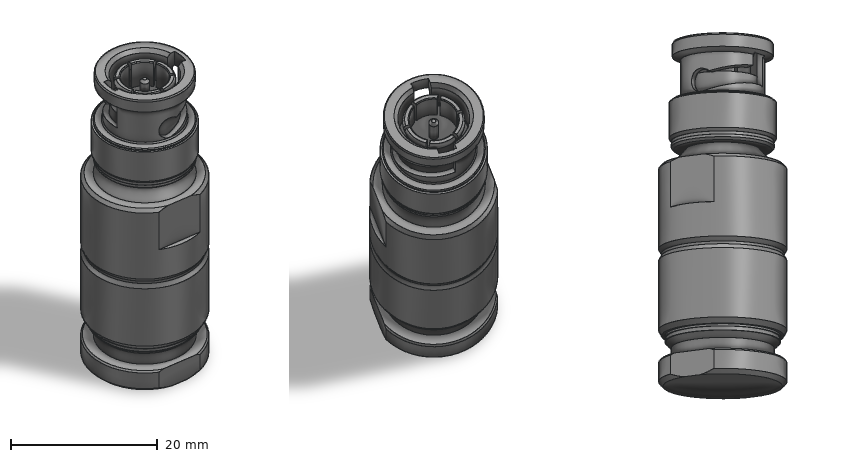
import cadquery as cq
import math


TOTAL_HEIGHT = 47.85

BODY_RADIUS = 8.75
BODY_CHAMFER = 0.5
NUT_HEIGHT = 3.5
NUT_BOTTOM_CHAMFER = 0.6
NUT_TOP_CHAMFER = 0.25
WAIST_RADIUS = 7.05
WAIST_TOP = 5.3
STEP_RADIUS = 7.9
STEP_BOTTOM = WAIST_TOP + STEP_RADIUS - WAIST_RADIUS
STEP_TOP = 7.05
STEP_GROOVE_RADIUS = 7.75
STEP_GROOVE_TOP = 6.75
SLEEVE_BOTTOM_RADIUS = 8.33
SLEEVE_CHAMFER_TOP = 7.8

GROOVE_RADIUS = 8.35
GROOVE_CENTRE = 18.3
GROOVE_FLOOR_HALF = 0.2
GROOVE_MOUTH_HALF = 0.8

BODY_TOP = 30.7
SHOULDER_RADIUS = 7.05
SHOULDER_TOP_RADIUS = 5.05
FLAT_DISTANCE = 8.05
FLAT_BOTTOM = 23.92

COLLAR_RADIUS = 7.3
COLLAR_END_RADIUS = 7.05
COLLAR_BOTTOM = 32.95
COLLAR_BOTTOM_CHAMFER = 0.35
COLLAR_GROOVE_RADIUS = 7.0
COLLAR_GROOVE_BOTTOM = 33.7
COLLAR_RIM_BOTTOM = 34.1
COLLAR_RIM_CHAMFER = 0.45
COLLAR_RIM_TOP = 39.5
COLLAR_TOP = 39.8
COLLAR_TOP_CHAMFER = 0.15

NECK_RADIUS = 5.75
NECK_FOOT = 0.2
NECK_TOP = 45.45
HEAD_RADIUS = 6.9
HEAD_BOTTOM = 45.95
HEAD_CHAMFER = 0.15
HEAD_CHAMFER_HEIGHT = 0.25
BORE_RADIUS = 4.9
MOUTH_CHAMFER = 0.55

ENTRY_WIDTH = 2.5
ENTRY_RADIUS = 6.1
TRACK_ANGLE = 14.0
TRACK_WIDTH = 2.45
TRACK_LENGTH = 9.55
CATCH_RADIUS = 1.65
CATCH_HEIGHT = 41.7
SLOT_REACH = 6.2

CORE_RADIUS = 4.85
CORE_FOOT_RADIUS = 5.02
CORE_TOP = 42.9
CORE_CONE_TOP = 40.75
FINGER_OUTER_RADIUS = 3.8
FINGER_TOP = 47.0
BULGE_BOTTOM = 45.7
BULGE_HEIGHT = 46.4
BULGE_RADIUS = 4.25
FINGER_RIM_OUTER = 3.95
FINGER_INNER_RADIUS = 3.35
FINGER_MOUTH_CHAMFER = 0.15
SLIT_COUNT = 6
SLIT_WIDTH = 0.45
PIN_RADIUS = 0.65
PIN_TIP_RADIUS = 0.3
PIN_SHOULDER = 46.15
PIN_TOP = 46.55


def revolve_profile(points):
    """Full turn around Z of a closed outline given as (radius, height) points."""
    outline = cq.Workplane("XZ").polyline(points).close()
    return outline.revolve(360, (0, 0, 0), (0, 1, 0))


def make_outer_shell():
    """All turned outside surfaces, with the open bore of the bayonet head."""
    neck_foot_radius = NECK_RADIUS + NECK_FOOT
    nut = [
        (0, 0),
        (BODY_RADIUS - NUT_BOTTOM_CHAMFER, 0),
        (BODY_RADIUS, NUT_BOTTOM_CHAMFER),
        (BODY_RADIUS, NUT_HEIGHT - NUT_TOP_CHAMFER),
        (BODY_RADIUS - NUT_TOP_CHAMFER, NUT_HEIGHT),
        (WAIST_RADIUS, NUT_HEIGHT),
    ]
    sleeve = [
        (WAIST_RADIUS, WAIST_TOP),
        (STEP_RADIUS, STEP_BOTTOM),
        (STEP_GROOVE_RADIUS, STEP_BOTTOM),
        (STEP_GROOVE_RADIUS, STEP_GROOVE_TOP),
        (STEP_RADIUS, STEP_GROOVE_TOP),
        (STEP_RADIUS, STEP_TOP),
        (SLEEVE_BOTTOM_RADIUS, STEP_TOP),
        (BODY_RADIUS, SLEEVE_CHAMFER_TOP),
        (BODY_RADIUS, GROOVE_CENTRE - GROOVE_MOUTH_HALF),
        (GROOVE_RADIUS, GROOVE_CENTRE - GROOVE_FLOOR_HALF),
    ]
    body = [
        (GROOVE_RADIUS, GROOVE_CENTRE + GROOVE_FLOOR_HALF),
        (BODY_RADIUS, GROOVE_CENTRE + GROOVE_MOUTH_HALF),
        (BODY_RADIUS, BODY_TOP - BODY_CHAMFER),
        (BODY_RADIUS - BODY_CHAMFER, BODY_TOP),
        (SHOULDER_RADIUS, BODY_TOP),
        (SHOULDER_TOP_RADIUS, COLLAR_BOTTOM),
    ]
    collar = [
        (COLLAR_END_RADIUS - COLLAR_BOTTOM_CHAMFER, COLLAR_BOTTOM),
        (COLLAR_END_RADIUS, COLLAR_BOTTOM + COLLAR_BOTTOM_CHAMFER),
        (COLLAR_END_RADIUS, COLLAR_GROOVE_BOTTOM),
        (COLLAR_GROOVE_RADIUS, COLLAR_GROOVE_BOTTOM),
        (COLLAR_GROOVE_RADIUS, COLLAR_RIM_BOTTOM),
        (COLLAR_END_RADIUS, COLLAR_RIM_BOTTOM),
        (COLLAR_RADIUS, COLLAR_RIM_BOTTOM + COLLAR_RIM_CHAMFER),
        (COLLAR_RADIUS, COLLAR_RIM_TOP),
        (COLLAR_END_RADIUS, COLLAR_RIM_TOP),
        (COLLAR_END_RADIUS, COLLAR_TOP - COLLAR_TOP_CHAMFER),
        (COLLAR_END_RADIUS - COLLAR_TOP_CHAMFER, COLLAR_TOP),
    ]
    head = [
        (neck_foot_radius, COLLAR_TOP),
        (NECK_RADIUS, COLLAR_TOP + NECK_FOOT),
        (NECK_RADIUS, NECK_TOP),
        (HEAD_RADIUS, HEAD_BOTTOM),
        (HEAD_RADIUS, TOTAL_HEIGHT - HEAD_CHAMFER_HEIGHT),
        (HEAD_RADIUS - HEAD_CHAMFER, TOTAL_HEIGHT),
        (BORE_RADIUS + MOUTH_CHAMFER, TOTAL_HEIGHT),
        (BORE_RADIUS, TOTAL_HEIGHT - MOUTH_CHAMFER),
        (BORE_RADIUS, COLLAR_TOP),
        (0, COLLAR_TOP),
    ]
    return revolve_profile(nut + sleeve + body + collar + head)


def make_flats(bottom, top):
    """Two slabs that shave parallel wrench flats on the -X and +X sides."""
    depth = BODY_RADIUS - FLAT_DISTANCE
    slabs = cq.Workplane("XY").workplane(offset=bottom).pushPoints(
        [(side * (FLAT_DISTANCE + depth / 2), 0) for side in (-1, 1)]
    )
    return slabs.rect(depth, 2 * BODY_RADIUS).extrude(top - bottom)


def make_bayonet_slot():
    """Cutter for the slot that enters at -Y and runs down to its catch at -X."""
    slope = math.radians(TRACK_ANGLE)
    along = (-math.cos(slope), math.sin(slope))
    across = (math.sin(slope), math.cos(slope))

    def track_point(run, rise):
        return (
            run * along[0] + rise * across[0],
            CATCH_HEIGHT + run * along[1] + rise * across[1],
        )

    lower = -CATCH_RADIUS
    upper = lower + TRACK_WIDTH
    side_plane = cq.Workplane("YZ", origin=(-SLOT_REACH, 0, 0))
    track = (
        side_plane.polyline([
            track_point(0, lower),
            track_point(TRACK_LENGTH, lower),
            track_point(TRACK_LENGTH, upper),
            track_point(0, upper),
        ])
        .close()
        .extrude(SLOT_REACH + ENTRY_WIDTH / 2)
    )
    catch = side_plane.center(0, CATCH_HEIGHT).circle(CATCH_RADIUS).extrude(SLOT_REACH)

    entry = (
        cq.Workplane("YZ", origin=(-ENTRY_WIDTH / 2, 0, 0))
        .polyline([
            track_point(0, lower),
            track_point(TRACK_LENGTH, lower),
            (track_point(TRACK_LENGTH, lower)[0], TOTAL_HEIGHT),
            (track_point(0, lower)[0], TOTAL_HEIGHT),
        ])
        .close()
        .extrude(ENTRY_WIDTH)
    )
    reach = cq.Workplane("XY").workplane(offset=COLLAR_TOP).circle(ENTRY_RADIUS).extrude(
        TOTAL_HEIGHT - COLLAR_TOP
    )
    return track.union(catch).union(entry).intersect(reach)


def make_core():
    """Solid stem inside the bore, flaring slightly at its foot until it closes the bore."""
    return revolve_profile([
        (0, COLLAR_BOTTOM),
        (CORE_FOOT_RADIUS, COLLAR_BOTTOM),
        (CORE_FOOT_RADIUS, COLLAR_TOP),
        (CORE_RADIUS, CORE_CONE_TOP),
        (CORE_RADIUS, CORE_TOP),
        (0, CORE_TOP),
    ])


def make_fingers():
    """Ring of spring contacts with bulged tips, split by radial slits."""
    ring = (
        cq.Workplane("XZ")
        .moveTo(FINGER_INNER_RADIUS, CORE_TOP)
        .lineTo(FINGER_OUTER_RADIUS, CORE_TOP)
        .lineTo(FINGER_OUTER_RADIUS, BULGE_BOTTOM)
        .threePointArc((BULGE_RADIUS, BULGE_HEIGHT), (FINGER_RIM_OUTER, FINGER_TOP))
        .lineTo(FINGER_INNER_RADIUS + FINGER_MOUTH_CHAMFER, FINGER_TOP)
        .lineTo(FINGER_INNER_RADIUS, FINGER_TOP - FINGER_MOUTH_CHAMFER)
        .close()
        .revolve(360, (0, 0, 0), (0, 1, 0))
    )
    for index in range(SLIT_COUNT // 2):
        slit = (
            cq.Workplane("XY")
            .workplane(offset=CORE_TOP)
            .rect(2 * CORE_RADIUS, SLIT_WIDTH)
            .extrude(FINGER_TOP - CORE_TOP)
            .rotate((0, 0, 0), (0, 0, 1), index * 360 / SLIT_COUNT)
        )
        ring = ring.cut(slit)
    return ring


def make_pin():
    """Centre contact with a conical tip."""
    return revolve_profile([
        (0, CORE_TOP),
        (PIN_RADIUS, CORE_TOP),
        (PIN_RADIUS, PIN_SHOULDER),
        (PIN_TIP_RADIUS, PIN_TOP),
        (0, PIN_TOP),
    ])


shell = make_outer_shell()
shell = shell.cut(make_flats(0, NUT_HEIGHT))
shell = shell.cut(make_flats(FLAT_BOTTOM, BODY_TOP))

slot = make_bayonet_slot()
for turn in (0, 180):
    shell = shell.cut(slot.rotate((0, 0, 0), (0, 0, 1), turn))

result = shell.union(make_core())
result = result.union(make_fingers())
result = result.union(make_pin())